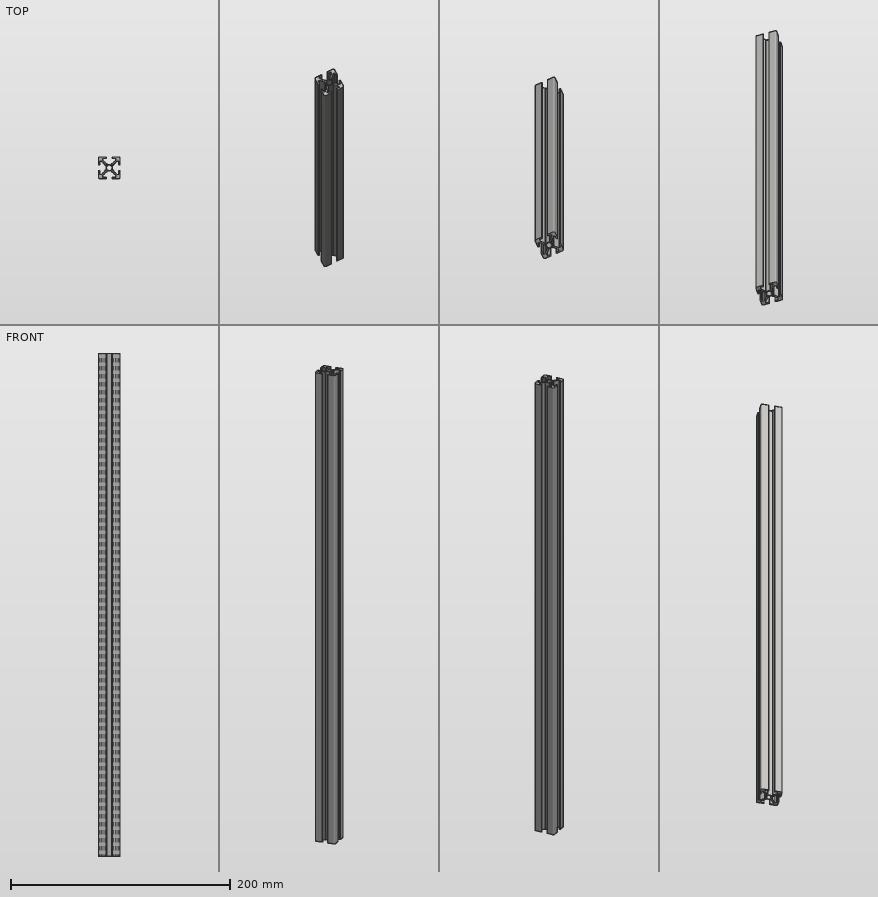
import cadquery as cq

side = 20.0
length = 459.0
corner_radius = 1.5
bore_diameter = 5.0

slot_opening = 5.2
cavity_width = 11.7
slot_floor_width = 5.2
groove_width = 4.2

lip_thickness = 1.5
lip_chamfer = 0.4
cavity_wall_depth = 1.5
core_width = 7.5
groove_depth = 0.75

half_side = side / 2
slot_floor = core_width / 2
groove_floor = slot_floor - groove_depth
lip_inner = half_side - lip_thickness
cavity_shoulder = lip_inner - cavity_wall_depth


def make_bar():
    """Solid square bar with rounded long edges and its base at Z = 0."""
    bar = cq.Workplane("XY").rect(side, side).extrude(length)
    return bar.edges("|Z").fillet(corner_radius)


def make_slot():
    """Full-length cutter for the T-slot that opens on the +Y side."""
    half_opening = slot_opening / 2
    half_chamfered_opening = half_opening + lip_chamfer
    right_half = [
        (groove_width / 2, groove_floor),
        (groove_width / 2, slot_floor),
        (slot_floor_width / 2, slot_floor),
        (cavity_width / 2, cavity_shoulder),
        (cavity_width / 2, lip_inner),
        (half_chamfered_opening, lip_inner),
        (half_opening, lip_inner + lip_chamfer),
        (half_opening, half_side - lip_chamfer),
        (half_chamfered_opening, half_side),
    ]
    left_half = [(-x, y) for x, y in reversed(right_half)]
    return cq.Workplane("XY").polyline(right_half + left_half).close().extrude(length)


def cut_slots(bar):
    """Cut the same slot into each of the four sides."""
    slot = make_slot()
    for angle in (0, 90, 180, 270):
        bar = bar.cut(slot.rotate((0, 0, 0), (0, 0, 1), angle))
    return bar


def cut_bore(bar):
    """Bore the core from end to end."""
    bore = cq.Workplane("XY").circle(bore_diameter / 2).extrude(length)
    return bar.cut(bore)


result = cut_bore(cut_slots(make_bar()))